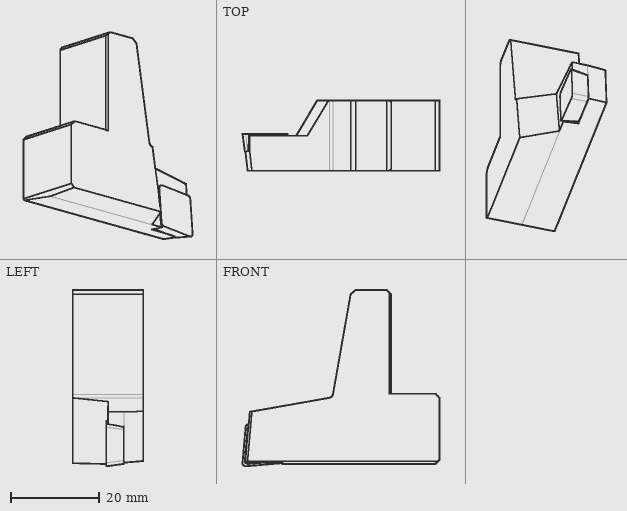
import cadquery as cq
import math



def tan_deg(angle):
    return math.tan(math.radians(angle))


def sin_deg(angle):
    return math.sin(math.radians(angle))


def cos_deg(angle):
    return math.cos(math.radians(angle))


overall_length = 44.68
overall_height = 40.0
width = 16.0
upright_height = 23.5
shoulder_length = 11.0

bottom_z = -16.0
edge_chamfer = 1.0
upright_chamfer = 0.45
arm_slope = 10.0
arm_root_x = -13.3
arm_root_z = -0.82
arm_root_fillet = 1.0
arm_thickness = 8.0
wall_setback = 0.8
wall_angle = 30.0
underside_front_rise = 0.7
underside_back_rise = 0.2
nose_setback = 0.65
nose_relief = 6.3
overshoot = 5.0

inscribed_circle = 9.525
acute_angle = 80.0
insert_thickness = 3.97
insert_relief = 7.0
corner_radius = 0.8
insert_face_y = 8.4

upright_lean = (upright_height - arm_root_z) * tan_deg(arm_slope)
upright_top_x = arm_root_x + upright_lean
insert_side = inscribed_circle / sin_deg(acute_angle)
insert_tilt = (90 - acute_angle) / 2
insert_seat_y = insert_face_y - insert_thickness
corner_loss = corner_radius * (cos_deg(45) / sin_deg(acute_angle / 2) - 1)
tip_x = shoulder_length - overall_length - corner_loss
tip_z = upright_height - overall_height - corner_loss
relief_inset = insert_thickness * tan_deg(insert_relief)


def insert_point(along_bottom, along_front):
    """(X, Z) at fractions of the insert's bottom and front edges from the cutting corner."""
    bottom = along_bottom * insert_side
    front = along_front * insert_side
    return (
        tip_x + bottom * cos_deg(insert_tilt) + front * sin_deg(insert_tilt),
        tip_z + bottom * sin_deg(insert_tilt) + front * cos_deg(insert_tilt),
    )


def make_insert():
    """Rhombic plate that tapers from its +Y face, with rounded corners."""
    return (
        cq.Workplane("XZ", origin=(0, insert_face_y, 0))
        .polyline([insert_point(0, 0), insert_point(1, 0), insert_point(1, 1), insert_point(0, 1)])
        .close()
        .extrude(insert_thickness, taper=insert_relief)
        .edges("not #Y")
        .fillet(corner_radius)
    )


def holder_block():
    """Side outline of the holder over the full width; the arm still runs past the nose."""
    arm_end_x = tip_x - overshoot
    arm_end_z = arm_root_z - (arm_root_x - arm_end_x) * tan_deg(arm_slope)
    block = (
        cq.Workplane("XZ")
        .polyline([
            (arm_end_x, bottom_z),
            (shoulder_length, bottom_z),
            (shoulder_length, 0),
            (0, 0),
            (0, upright_height),
            (upright_top_x, upright_height),
            (arm_root_x, arm_root_z),
            (arm_end_x, arm_end_z),
        ])
        .close()
        .extrude(-width)
    )
    arm_root = cq.selectors.NearestToPointSelector((arm_root_x, width / 2, arm_root_z))
    block = block.edges(arm_root).fillet(arm_root_fillet)
    chamfered_corners = [
        (upright_top_x, upright_height),
        (0, upright_height),
        (shoulder_length, 0),
        (shoulder_length, bottom_z),
    ]
    for x, z in chamfered_corners:
        corner = cq.selectors.NearestToPointSelector((x, width / 2, z))
        block = block.edges(corner).chamfer(edge_chamfer)
    return block


def upright_edge_cutter():
    """Triangular bars along the two +X edges of the upright."""
    return (
        cq.Workplane("XY")
        .polyline([(0, 0), (0, upright_chamfer), (-upright_chamfer, 0)])
        .close()
        .polyline([(0, width), (0, width - upright_chamfer), (-upright_chamfer, width)])
        .close()
        .extrude(upright_height)
    )


def underside_cutter():
    """Leaves two shallow slopes on the underside, meeting in a ridge along X."""
    cutter_length = overall_length + 3 * overshoot
    return (
        cq.Workplane("YZ", origin=(tip_x - 2 * overshoot, 0, 0))
        .polyline([
            (0, bottom_z - overshoot),
            (width, bottom_z - overshoot),
            (width, bottom_z + underside_back_rise),
            (arm_thickness, bottom_z),
            (0, bottom_z + underside_front_rise),
        ])
        .close()
        .extrude(cutter_length)
    )


def slanted_wall_cutter():
    """Thins the arm on its +Y side, with a wall that leans like the upright."""
    wall_plane = cq.Plane(
        origin=(arm_root_x, 0, arm_root_z),
        xDir=(cos_deg(arm_slope), 0, -sin_deg(arm_slope)),
        normal=(sin_deg(arm_slope), 0, cos_deg(arm_slope)),
    )
    wall_run = (width - arm_thickness) * tan_deg(wall_angle)
    far_end = tip_x - arm_root_x - 3 * overshoot
    return (
        cq.Workplane(wall_plane)
        .polyline([
            (-wall_setback, width),
            (-wall_setback - wall_run, arm_thickness),
            (far_end, arm_thickness),
            (far_end, width),
        ])
        .close()
        .extrude(overall_height, both=True)
    )


def nose_cutter():
    """Trims the arm to the nose face, which is parallel to the insert's front edge."""
    nose_plane = cq.Plane(
        origin=(tip_x + nose_setback, 0, tip_z),
        xDir=(cos_deg(insert_tilt), 0, -sin_deg(insert_tilt)),
        normal=(sin_deg(insert_tilt), 0, cos_deg(insert_tilt)),
    )
    return (
        cq.Workplane(nose_plane)
        .polyline([
            (0, width),
            (0, insert_seat_y),
            (insert_seat_y * tan_deg(nose_relief), 0),
            (-3 * overshoot, 0),
            (-3 * overshoot, width),
        ])
        .close()
        .extrude(overall_height, both=True)
    )


def pocket_opening():
    """Opens the insert pocket downwards, under the insert's bottom edge."""
    right_x = insert_point(1, 0)[0] - relief_inset
    open_z = tip_z - overshoot
    return (
        cq.Workplane("XZ", origin=(0, insert_seat_y, 0))
        .polyline([
            insert_point(0.5, 0.5),
            (right_x, insert_point(1, 0)[1] + relief_inset),
            (right_x, open_z),
            (tip_x, open_z),
            insert_point(0, 0.5),
        ])
        .close()
        .extrude(-insert_thickness)
    )


def make_holder(insert):
    return (
        holder_block()
        .cut(upright_edge_cutter())
        .cut(underside_cutter())
        .cut(slanted_wall_cutter())
        .cut(nose_cutter())
        .cut(pocket_opening())
        .cut(insert)
    )


insert = make_insert()
holder = make_holder(insert)
result = cq.Compound.makeCompound([holder.val(), insert.val()])